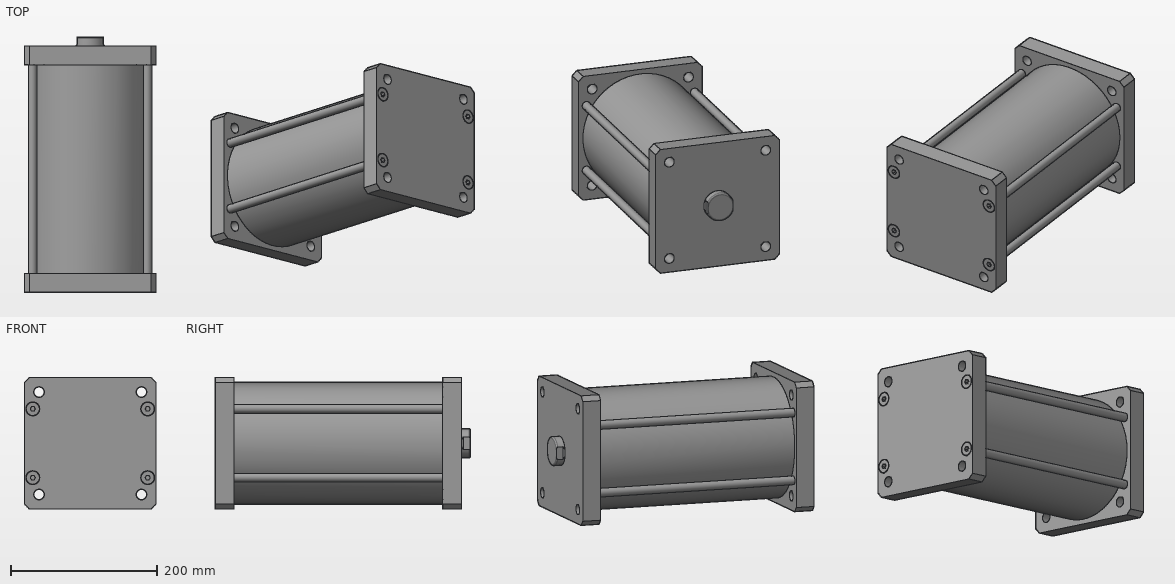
import cadquery as cq
import math

plate_width = 180.0
plate_thickness = 26.0
corner_chamfer = 7.0
total_length = 349.0

rod_end_projection = 12.0
barrel_diameter = 167.0
barrel_length = total_length - rod_end_projection - 2 * plate_thickness
tie_rod_diameter = 12.0
tie_rod_x = 78.5
tie_rod_z = 47.0

mount_hole_diameter = 14.0
mount_hole_offset = 70.0

head_recess_diameter = 19.0
head_recess_depth = 12.0
head_diameter = 18.0
socket_across_corners = 7.0
socket_depth = 6.0

piston_rod_diameter = 40.0
tip_round_radius = 1.9
flats_across = 36.0
flats_length = 9.5
flat_runout_angle = 30.0

front_face = -total_length / 2
barrel_front = front_face + plate_thickness
barrel_rear = barrel_front + barrel_length
rear_face = barrel_rear + plate_thickness
rod_tip = rear_face + rod_end_projection

tie_rod_points = [(x, z) for x in (-tie_rod_x, tie_rod_x) for z in (-tie_rod_z, tie_rod_z)]
mount_hole_points = [
    (x, z)
    for x in (-mount_hole_offset, mount_hole_offset)
    for z in (-mount_hole_offset, mount_hole_offset)
]


def section_at(y):
    """Workplane across the axis at station y: local x is X, local y is Z, extrusion runs toward -Y."""
    return cq.Workplane("XZ", origin=(0, y, 0))


def make_plate(front_y):
    """Square plate with chamfered corners and four mounting holes."""
    plate = section_at(front_y).rect(plate_width, plate_width).extrude(-plate_thickness)
    plate = plate.edges("|Y").chamfer(corner_chamfer)
    holes = (
        section_at(front_y)
        .pushPoints(mount_hole_points)
        .circle(mount_hole_diameter / 2)
        .extrude(-plate_thickness)
    )
    return plate.cut(holes)


def make_barrel():
    return section_at(barrel_front).circle(barrel_diameter / 2).extrude(-barrel_length)


def make_tie_rods():
    return (
        section_at(barrel_front)
        .pushPoints(tie_rod_points)
        .circle(tie_rod_diameter / 2)
        .extrude(-barrel_length)
    )


def make_wrench_flat():
    """Cutter for the +X wrench flat, which slopes out toward the full diameter at its inner end."""
    flat_x = flats_across / 2
    outer_x = piston_rod_diameter / 2
    flat_end = rod_tip - flats_length
    slope_length = (outer_x - flat_x) / math.tan(math.radians(flat_runout_angle))
    return (
        cq.Workplane("XY", origin=(0, 0, -piston_rod_diameter / 2))
        .moveTo(flat_x, rod_tip)
        .lineTo(flat_x, flat_end)
        .lineTo(outer_x, flat_end - slope_length)
        .lineTo(outer_x, rod_tip)
        .close()
        .extrude(piston_rod_diameter)
    )


def make_piston_rod_end():
    """Round rod end with a rounded tip and a wrench flat on each X side."""
    rod = section_at(rear_face).circle(piston_rod_diameter / 2).extrude(-rod_end_projection)
    rod = rod.faces(">Y").edges().fillet(tip_round_radius)
    flat = make_wrench_flat()
    return rod.cut(flat).cut(flat.mirror("YZ"))


def make_head_recesses():
    return (
        section_at(front_face)
        .pushPoints(tie_rod_points)
        .circle(head_recess_diameter / 2)
        .extrude(-head_recess_depth)
    )


def make_screw_heads():
    """Screw heads flush with the front face, each with a hexagon socket."""
    heads = (
        section_at(front_face)
        .pushPoints(tie_rod_points)
        .circle(head_diameter / 2)
        .extrude(-head_recess_depth)
    )
    sockets = (
        section_at(front_face)
        .pushPoints(tie_rod_points)
        .polygon(6, socket_across_corners)
        .extrude(-socket_depth)
    )
    return heads.cut(sockets)


front_plate = make_plate(front_face).cut(make_head_recesses())

result = (
    make_barrel()
    .union(front_plate)
    .union(make_plate(barrel_rear))
    .union(make_tie_rods())
    .union(make_screw_heads())
    .union(make_piston_rod_end())
)